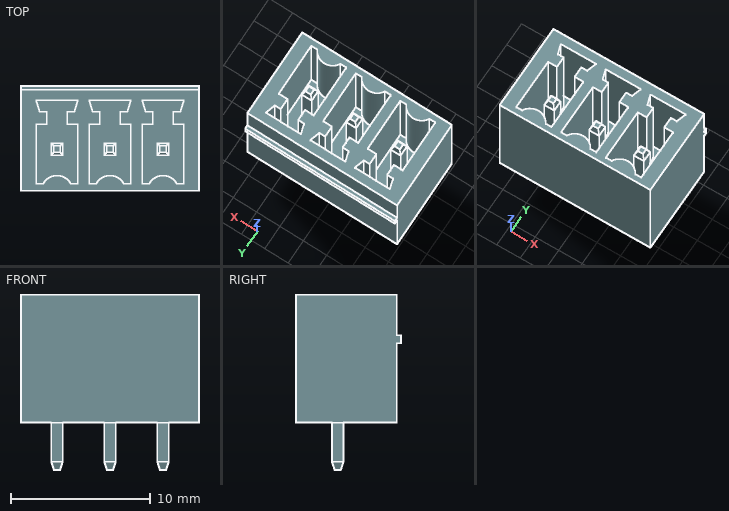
import cadquery as cq

pin_count = 3
pitch = 3.81
row_length = (pin_count - 1) * pitch
pin_positions = [i * pitch - row_length / 2 for i in range(pin_count)]

end_margin = 2.6
housing_length = row_length + 2 * end_margin
housing_depth = 7.25
housing_height = 9.2
front_y = -3.0
back_y = front_y + housing_depth

rail_projection = 0.3
rail_height = 0.6
rail_drop = 2.9

floor_thickness = 1.2
front_wall = 0.5
cavity_width = 3.0
cavity_front_y = front_y + front_wall
cavity_depth = 4.3
shoulder_y = cavity_front_y + cavity_depth
neck_width = 1.5
neck_depth = 0.9
dovetail_y = shoulder_y + neck_depth
dovetail_narrow_width = 2.5
dovetail_depth = 0.8
pocket_back_y = dovetail_y + dovetail_depth

rib_width = 2.0
rib_height = 0.6

pin_size = 0.85
pin_tip_size = 0.45
pin_taper_length = 0.6
pin_tail_length = 3.4
pin_top_z = 7.8


def make_housing():
    return cq.Workplane("XY").box(
        housing_length, housing_depth, housing_height, centered=(True, False, False)
    ).translate((0, front_y, 0))


def make_rail():
    rail_bottom_z = housing_height - rail_drop - rail_height
    return cq.Workplane("XY").box(
        housing_length, rail_projection, rail_height, centered=(True, False, False)
    ).translate((0, back_y, rail_bottom_z))


def make_pocket(x):
    """Cavity with a neck and a dovetail slot behind it, and the key rib left standing in front."""
    cavity = cavity_width / 2
    neck = neck_width / 2
    dovetail = dovetail_narrow_width / 2
    rib = rib_width / 2
    return (
        cq.Workplane("XY", origin=(x, 0, floor_thickness))
        .moveTo(-cavity, cavity_front_y)
        .lineTo(-rib, cavity_front_y)
        .threePointArc((0, cavity_front_y + rib_height), (rib, cavity_front_y))
        .lineTo(cavity, cavity_front_y)
        .lineTo(cavity, shoulder_y)
        .lineTo(neck, shoulder_y)
        .lineTo(neck, dovetail_y)
        .lineTo(dovetail, dovetail_y)
        .lineTo(cavity, pocket_back_y)
        .lineTo(-cavity, pocket_back_y)
        .lineTo(-dovetail, dovetail_y)
        .lineTo(-neck, dovetail_y)
        .lineTo(-neck, shoulder_y)
        .lineTo(-cavity, shoulder_y)
        .close()
        .extrude(housing_height - floor_thickness)
    )


def make_pin_tip(x, base_z, direction):
    """Pyramid-shaped pin end pointing up (direction 1) or down (direction -1)."""
    return (
        cq.Workplane("XY", origin=(x, 0, base_z))
        .rect(pin_size, pin_size)
        .workplane(offset=direction * pin_taper_length)
        .rect(pin_tip_size, pin_tip_size)
        .loft(ruled=True)
    )


def make_pin(x):
    shank_bottom_z = pin_taper_length - pin_tail_length
    shank_top_z = pin_top_z - pin_taper_length
    shank = (
        cq.Workplane("XY", origin=(x, 0, shank_bottom_z))
        .rect(pin_size, pin_size)
        .extrude(shank_top_z - shank_bottom_z)
    )
    upper_tip = make_pin_tip(x, shank_top_z, 1)
    lower_tip = make_pin_tip(x, shank_bottom_z, -1)
    return shank.union(upper_tip).union(lower_tip)


result = make_housing().union(make_rail())
for pin_x in pin_positions:
    result = result.cut(make_pocket(pin_x))
for pin_x in pin_positions:
    result = result.union(make_pin(pin_x))